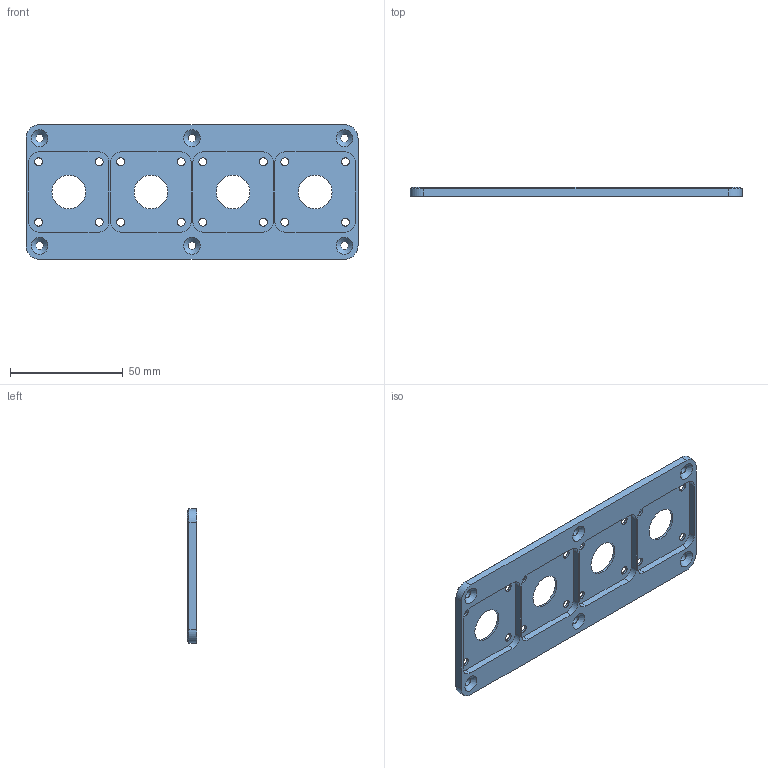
import cadquery as cq

plate_length = 147.2
plate_thickness = 4.0
plate_height = 59.6
plate_corner_radius = 6.0
back_edge_chamfer = 0.6

pocket_count = 4
pocket_size = 35.6
pocket_wall = 0.8
pocket_pitch = pocket_size + pocket_wall
pocket_depth = 3.0
pocket_corner_radius = 4.4

connector_hole_diameter = 15.0
flange_hole_diameter = 3.5
flange_hole_spacing = 26.85

screw_columns = 3
screw_rows = 2
screw_hole_diameter = 3.5
countersink_diameter = 7.5
countersink_angle = 90.0
screw_edge_inset = plate_corner_radius
screw_column_spacing = (plate_length - 2 * screw_edge_inset) / (screw_columns - 1)
screw_row_spacing = (plate_height - 2 * screw_edge_inset) / (screw_rows - 1)


def front_workplane(part):
    """Workplane on the front face: local x along X, local y along Z, normal along -Y."""
    return part.copyWorkplane(cq.Workplane("XZ", origin=(0, -plate_thickness / 2, 0)))


def make_plate():
    """Rounded plate, centred on the origin, with its back edge chamfered."""
    plate = cq.Workplane("XZ").rect(plate_length, plate_height).extrude(plate_thickness / 2, both=True)
    plate = plate.edges("|Y").fillet(plate_corner_radius)
    return plate.faces(">Y").edges().chamfer(back_edge_chamfer)


def cut_connector_pocket(part, center_x):
    """Rounded square pocket with one connector hole and four flange holes through its floor."""
    pocket = (
        cq.Workplane("XZ", origin=(center_x, -plate_thickness / 2, 0))
        .rect(pocket_size, pocket_size)
        .extrude(-pocket_depth)
        .edges("|Y")
        .fillet(pocket_corner_radius)
    )
    part = part.cut(pocket)
    part = front_workplane(part).center(center_x, 0).circle(connector_hole_diameter / 2).cutThruAll()
    return (
        front_workplane(part)
        .center(center_x, 0)
        .rect(flange_hole_spacing, flange_hole_spacing, forConstruction=True)
        .vertices()
        .circle(flange_hole_diameter / 2)
        .cutThruAll()
    )


def cut_screw_holes(part):
    """Countersunk holes at the corners and at the middle of both long edges."""
    return (
        front_workplane(part)
        .rarray(screw_column_spacing, screw_row_spacing, screw_columns, screw_rows)
        .cskHole(screw_hole_diameter, countersink_diameter, countersink_angle)
    )


result = make_plate()
for index in range(pocket_count):
    pocket_offset = index - (pocket_count - 1) / 2
    result = cut_connector_pocket(result, pocket_offset * pocket_pitch)
result = cut_screw_holes(result)